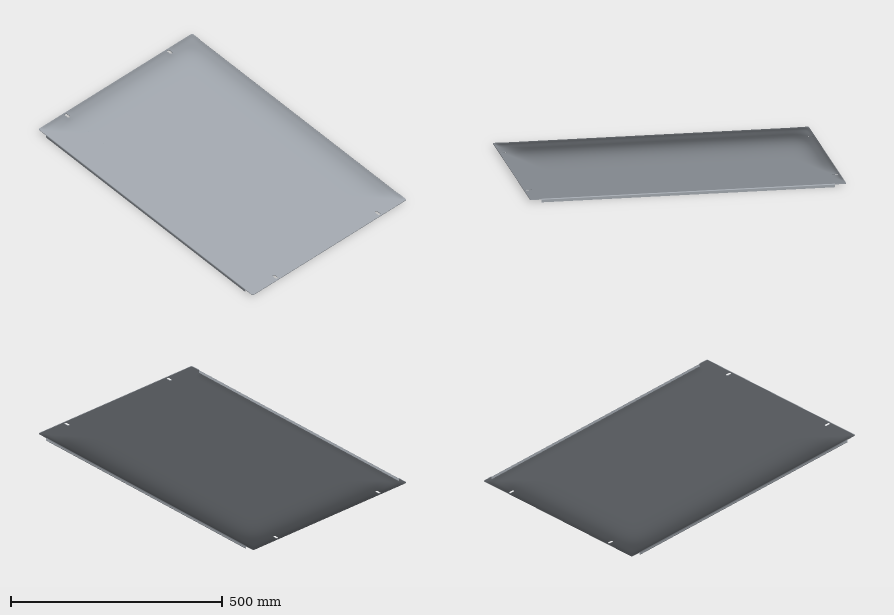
import cadquery as cq

length = 760.0
width = 489.0
thickness = 1.5
corner_radius = 4.0

flange_length = 705.0
flange_height = 8.0
bend_radius = 2.0

slot_length = 15.0
slot_width = 7.0
slot_edge_distance = 11.5
slot_spacing_y = 325.0


def make_plate():
    """Flat sheet with rounded corners, its top face at Z = 0."""
    sheet = cq.Workplane("XY").box(length, width, thickness, centered=(True, True, False))
    return sheet.translate((0, 0, -thickness)).edges("|Z").fillet(corner_radius)


def make_folded_sheet():
    """Channel section with rounded bends, running the length of the flanges."""
    outer = (
        cq.Workplane("XY")
        .box(flange_length, width, flange_height, centered=(True, True, False))
        .translate((0, 0, -flange_height))
        .edges("|X and >Z")
        .fillet(bend_radius)
    )
    inner = (
        cq.Workplane("XY")
        .box(flange_length, width - 2 * thickness, flange_height, centered=(True, True, False))
        .translate((0, 0, -flange_height - thickness))
        .edges("|X and >Z")
        .fillet(bend_radius - thickness)
    )
    return outer.cut(inner)


def make_bend_clearance():
    """Strips along the long edges where the flat sheet gives way to the bends."""
    strip_offset = (width - bend_radius) / 2
    return (
        cq.Workplane("XY")
        .pushPoints([(0, -strip_offset), (0, strip_offset)])
        .rect(flange_length, bend_radius)
        .extrude(-thickness)
    )


def make_slots():
    """Four round-ended slots, two near each short edge."""
    slot_spacing_x = length - 2 * slot_edge_distance
    return (
        cq.Workplane("XY")
        .rect(slot_spacing_x, slot_spacing_y, forConstruction=True)
        .vertices()
        .slot2D(slot_length, slot_width)
        .extrude(-thickness)
    )


flat_sheet = make_plate().cut(make_bend_clearance())
result = flat_sheet.union(make_folded_sheet()).cut(make_slots())